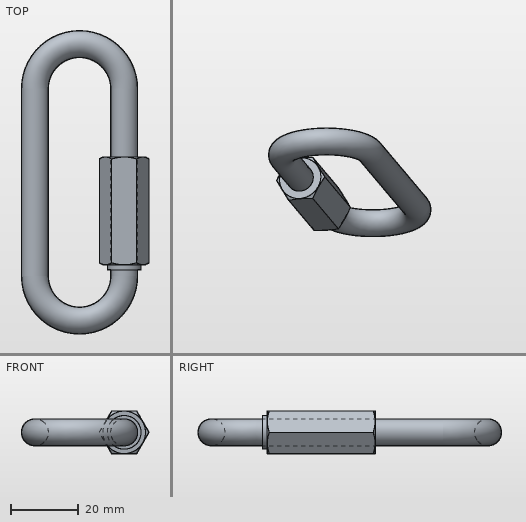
import cadquery as cq
import math

overall_length = 90.0
bar_diameter = 8.0
link_width = 34.5
bend_radius = (link_width - bar_diameter) / 2
half_straight = (overall_length - link_width) / 2

shoulder_diameter = 10.0
shoulder_length = 1.4

nut_across_flats = 12.8
nut_across_corners = nut_across_flats / math.cos(math.radians(30))
nut_length = 32.0
nut_bottom_y = -24.5
nut_end_face_diameter = 12.6
chamfer_angle = 30.0


def leg_cylinder(diameter, start_y, length):
    """Cylinder around the axis of the +X leg, running toward +Y."""
    return cq.Workplane(
        cq.Solid.makeCylinder(
            diameter / 2, length, cq.Vector(bend_radius, start_y, 0), cq.Vector(0, 1, 0)
        )
    )


def make_link():
    path = (
        cq.Workplane("XY")
        .moveTo(-bend_radius, 0)
        .lineTo(-bend_radius, half_straight)
        .threePointArc((0, half_straight + bend_radius), (bend_radius, half_straight))
        .lineTo(bend_radius, -half_straight)
        .threePointArc((0, -half_straight - bend_radius), (-bend_radius, -half_straight))
        .close()
    )
    bar = cq.Workplane("XZ", origin=(-bend_radius, 0, 0)).circle(bar_diameter / 2).sweep(path)
    shoulder = leg_cylinder(shoulder_diameter, nut_bottom_y - shoulder_length, shoulder_length)
    return bar.union(shoulder).clean()


def make_nut():
    hexagon = (
        cq.Workplane("XZ", origin=(bend_radius, nut_bottom_y, 0))
        .polygon(6, nut_across_corners)
        .extrude(-nut_length)
    )
    corner_radius = nut_across_corners / 2
    face_radius = nut_end_face_diameter / 2
    bevel_length = (corner_radius - face_radius) * math.tan(math.radians(chamfer_angle))
    envelope = (
        cq.Workplane("XY", origin=(bend_radius, nut_bottom_y, 0))
        .lineTo(face_radius, 0)
        .lineTo(corner_radius, bevel_length)
        .lineTo(corner_radius, nut_length - bevel_length)
        .lineTo(face_radius, nut_length)
        .lineTo(0, nut_length)
        .close()
        .revolve(360, (0, 0, 0), (0, 1, 0))
    )
    bore = leg_cylinder(bar_diameter, nut_bottom_y, nut_length)
    return hexagon.intersect(envelope).cut(bore)


link = make_link()
nut = make_nut()

result = cq.Compound.makeCompound([link.solids().val(), nut.solids().val()])